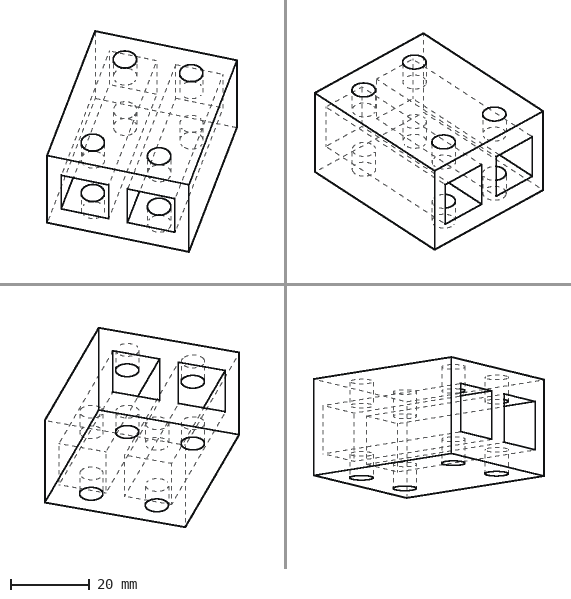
import cadquery as cq

width = 37.5
length = 45.0
height = 25.0

channel_side = 12.5
channel_spacing = 17.5
hole_diameter = 5.95
hole_spacing_along_channel = 30.0


def make_block():
    return cq.Workplane("XY").box(width, length, height)


def make_channels():
    """Square bars along Y, centred in the block's height."""
    return (
        cq.Workplane("XZ")
        .rarray(channel_spacing, 0.45, 2, 1)
        .rect(channel_side, channel_side)
        .extrude(length / 2, both=True)
    )


def make_holes():
    """Vertical through holes centred on the channels."""
    return (
        cq.Workplane("XY")
        .rarray(channel_spacing, hole_spacing_along_channel, 2, 2)
        .circle(hole_diameter / 2)
        .extrude(height / 2, both=True)
    )


result = make_block().cut(make_channels()).cut(make_holes())